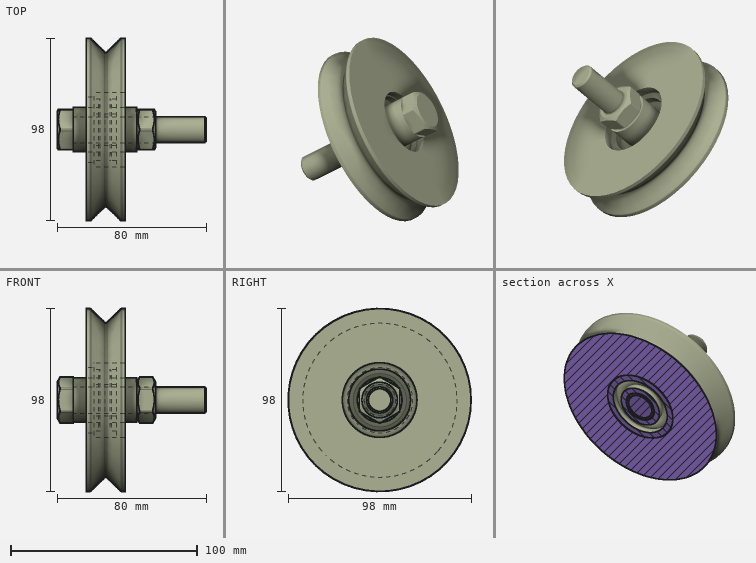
import cadquery as cq
import math


wheel_diameter = 98.0
wheel_width = 21.0
rim_land = 2.2
groove_half_angle = 46.0
rim_radius = 0.9
root_radius = 0.8
recess_diameter = 35.0
recess_depth = 4.0

bearing_outer = 40.0
bearing_bore = 17.0
bearing_width = 12.0
outer_ring_inside = 33.1
inner_ring_outside = 23.9
ball_diameter = 7.0

bushing_diameter = 24.0
spigot_diameter = 16.85
collar_length = 11.0

across_corners = 25.0
hex_corner_radius = 1.0
hex_face_diameter = 19.0
hex_chamfer_angle = 30.0
head_height = 8.6
nut_height = 10.2

bolt_length = 80.0
bolt_diameter = 14.0
bolt_end_chamfer = 1.0

bearing_side = bearing_width / 2
wheel_start = -bearing_side - recess_depth
wheel_middle = wheel_start + wheel_width / 2
wheel_end = wheel_start + wheel_width
nut_seat = bearing_side + collar_length
head_seat = -nut_seat
bolt_start = head_seat - head_height
bolt_end = bolt_start + bolt_length


def rod(diameter, start, end):
    """Cylinder along X between two X positions."""
    return cq.Workplane("YZ").workplane(offset=start).circle(diameter / 2).extrude(end - start)


def revolve_about_x(profile):
    """Close an outline and turn it around the X axis."""
    return profile.close().revolve(360, (0, 0, 0), (1, 0, 0))


def make_wheel_blank():
    """Solid V-groove wheel, centred on X = 0."""
    wheel_side = wheel_width / 2
    rim = wheel_diameter / 2
    slope = math.radians(90 - groove_half_angle)
    groove_half_width = wheel_side - rim_land
    apex = rim - groove_half_width * math.tan(slope)

    rim_tangent = rim_radius * math.tan(slope / 2)
    wall_top_x = groove_half_width - rim_tangent * math.cos(slope)
    wall_top_r = rim - rim_tangent * math.sin(slope)
    rim_end_x = groove_half_width + rim_tangent
    wall_bottom_x = root_radius * math.sin(slope)
    wall_bottom_r = apex + wall_bottom_x * math.tan(slope)
    root_bottom = apex + root_radius * (1 / math.cos(slope) - 1)
    rim_arc_x = rim_end_x - rim_radius * math.sin(slope / 2)
    rim_arc_r = rim - rim_radius * (1 - math.cos(slope / 2))

    profile = (
        cq.Workplane("XY")
        .moveTo(-wheel_side, 0)
        .lineTo(-wheel_side, rim)
        .lineTo(-rim_end_x, rim)
        .threePointArc((-rim_arc_x, rim_arc_r), (-wall_top_x, wall_top_r))
        .lineTo(-wall_bottom_x, wall_bottom_r)
        .threePointArc((0, root_bottom), (wall_bottom_x, wall_bottom_r))
        .lineTo(wall_top_x, wall_top_r)
        .threePointArc((rim_arc_x, rim_arc_r), (rim_end_x, rim))
        .lineTo(wheel_side, rim)
        .lineTo(wheel_side, 0)
    )
    return revolve_about_x(profile)


def make_wheel():
    blank = make_wheel_blank().translate((wheel_middle, 0, 0))
    recess = rod(recess_diameter, wheel_start, -bearing_side)
    bearing_seat = rod(bearing_outer, -bearing_side, wheel_end)
    return blank.cut(recess).cut(bearing_seat)


def make_bearing():
    def ring(outside, inside):
        hole = rod(inside, -bearing_side, bearing_side)
        return rod(outside, -bearing_side, bearing_side).cut(hole)

    outer_ring = ring(bearing_outer, outer_ring_inside)
    inner_ring = ring(inner_ring_outside, bearing_bore)
    pitch_radius = (outer_ring_inside + inner_ring_outside) / 4
    balls = (
        cq.Workplane("XY")
        .center(0, pitch_radius)
        .circle(ball_diameter / 2)
        .revolve(360, (0, -pitch_radius, 0), (1, -pitch_radius, 0))
    )
    return outer_ring.union(inner_ring).union(balls)


def make_bushing(seat):
    """Spacer from the bolt head or nut to the bearing, with a spigot to mid bearing."""
    shoulder = math.copysign(bearing_side, seat)
    collar = rod(bushing_diameter, seat, shoulder)
    spigot = rod(spigot_diameter, shoulder, 0)
    return collar.union(spigot).cut(rod(bolt_diameter, seat, 0))


def chamfer_cone(face, direction):
    """Cone that bevels a hexagon face; it widens along the given X direction."""
    face_radius = hex_face_diameter / 2
    cone_radius = across_corners
    cone_length = (cone_radius - face_radius) * math.tan(math.radians(hex_chamfer_angle))
    wide_x = face + direction * cone_length
    far_x = wide_x + direction * bolt_length
    return revolve_about_x(
        cq.Workplane("XY")
        .moveTo(face, 0)
        .lineTo(face, face_radius)
        .lineTo(wide_x, cone_radius)
        .lineTo(far_x, cone_radius)
        .lineTo(far_x, 0)
    )


def hexagon(start, height):
    """Hexagon along X with rounded corners, two of them pointing up and down."""
    return (
        cq.Workplane("YZ")
        .workplane(offset=start)
        .transformed(rotate=(0, 0, 90))
        .polygon(6, across_corners)
        .extrude(height)
        .edges("|X")
        .fillet(hex_corner_radius)
    )


def make_bolt():
    head = hexagon(bolt_start, head_height).intersect(chamfer_cone(bolt_start, 1))
    shank = rod(bolt_diameter, head_seat, bolt_end).faces(">X").chamfer(bolt_end_chamfer)
    return head.union(shank)


def make_nut():
    nut_end = nut_seat + nut_height
    blank = hexagon(nut_seat, nut_height)
    bevelled = blank.intersect(chamfer_cone(nut_seat, 1)).intersect(chamfer_cone(nut_end, -1))
    return bevelled.cut(rod(bolt_diameter, nut_seat, nut_end))


wheel = make_wheel()
bearing = make_bearing()
bushings = [make_bushing(seat) for seat in (head_seat, nut_seat)]
bolt = make_bolt()
nut = make_nut()

result = cq.Compound.makeCompound(
    [wheel.val(), bearing.val(), *[bushing.val() for bushing in bushings], bolt.val(), nut.val()]
)